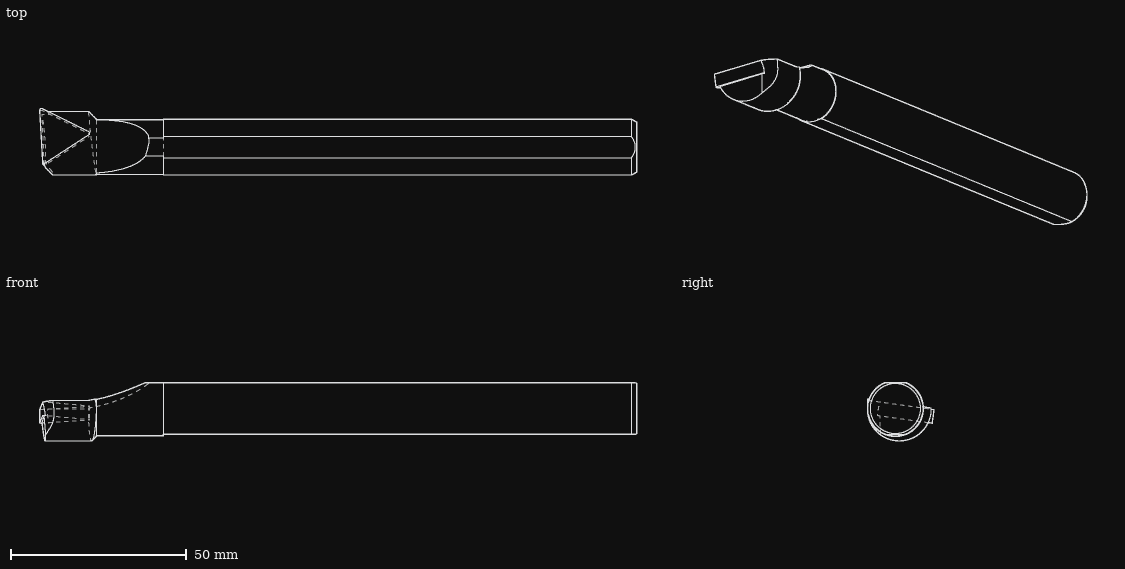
import cadquery as cq
import math

length = 170.0
shank_radius = 8.0
width_across_flats = 14.8
flat_height = width_across_flats / 2
end_chamfer_length = 1.5
end_chamfer_depth = 0.8

neck_radius = 7.8
neck_end = 35.2
neck_start = 13.6

head_diameter = 18.2
head_radius = head_diameter / 2
overall_height = 16.7
head_center_z = flat_height - overall_height + head_radius
head_center_y = head_radius - shank_radius
head_length = 16.2
relief_angle = 5.0
relief_start_z = 2.4
bevel_turns = (30.0, 45.0)
bevel_ridge = (1.7, -6.0)

floor_tilt = 8.0
floor_height = 1.22
scoop_center_x = 3.4
scoop_floor_radius = 13.3
scoop_rim_radius = 27.7
scoop_rim_height = 6.3
scoop_mid_radius = 21.0
scoop_mid_height = 2.5
clearance = 17.0

nose_radius = 0.5
nose_spacing = 14.8
insert_thickness = 3.9
tip_y = 11.0
front_edge_angle = 3.3

tilt = math.radians(floor_tilt)
floor_plane = cq.Plane(
    origin=(0, 0, floor_height),
    xDir=(1, 0, 0),
    normal=(0, math.sin(tilt), math.cos(tilt)),
)
cutting_nose = (nose_radius, tip_y / math.cos(tilt) - nose_radius)


def other_nose(angle):
    """Nose centre reached from the cutting nose, at an angle turned from -Y towards +X."""
    turn = math.radians(angle)
    return (
        cutting_nose[0] + nose_spacing * math.sin(turn),
        cutting_nose[1] - nose_spacing * math.cos(turn),
    )


def make_insert():
    noses = [cutting_nose, other_nose(front_edge_angle), other_nose(front_edge_angle + 60)]
    outline = cq.Workplane(floor_plane).polyline(noses).close().offset2D(nose_radius)
    return outline.extrude(-insert_thickness)


def make_shank():
    shank = cq.Workplane("XY").polyline([
        (neck_end, 0),
        (neck_end, shank_radius),
        (length - end_chamfer_length, shank_radius),
        (length, shank_radius - end_chamfer_depth),
        (length, 0),
    ]).close().revolve(360, (0, 0, 0), (1, 0, 0))
    flats = cq.Workplane("XY").box(length, 2 * clearance, 2 * flat_height, centered=(False, True, True))
    return shank.intersect(flats)


def make_neck():
    neck = cq.Workplane("YZ", origin=(neck_start, 0, 0)).circle(neck_radius).extrude(neck_end - neck_start)
    top_flat = cq.Workplane("XY", origin=(0, 0, flat_height)).rect(length, 2 * clearance).extrude(clearance)
    return neck.cut(top_flat)


def make_head():
    """Round below its centre, with upright sides above it and a back end bevelled to the bar."""
    center = (head_center_y, head_center_z)
    round_part = cq.Workplane("YZ").center(*center).circle(head_radius).extrude(head_length)
    upright_part = (
        cq.Workplane("YZ").center(*center)
        .rect(2 * head_radius, flat_height - head_center_z, centered=(True, False))
        .extrude(head_length)
    )
    back_cone = cq.Workplane("XY").polyline([
        (0, 0),
        (0, shank_radius + head_length),
        (head_length, shank_radius),
        (head_length, 0),
    ]).close().revolve(360, (0, 0, 0), (1, 0, 0))
    return round_part.union(upright_part).intersect(back_cone)


def leaning_cutter(edge_point, edge_turn):
    """Material ahead of a leaning face, whose top edge passes a point, turned from Y."""
    turn = math.radians(edge_turn)
    lean = math.radians(relief_angle)
    along_edge = cq.Vector(math.sin(turn), -math.cos(turn), 0)
    down_face = cq.Vector(
        math.sin(lean) * math.cos(turn),
        math.sin(lean) * math.sin(turn),
        -math.cos(lean),
    )
    face_plane = cq.Plane(
        origin=(*edge_point, relief_start_z),
        xDir=along_edge,
        normal=down_face.cross(along_edge),
    )
    return cq.Workplane(face_plane).rect(4 * clearance, 4 * clearance).extrude(clearance)


def front_relief_cutter():
    """The front face follows the front edge of the insert."""
    return leaning_cutter((0, tip_y - nose_radius), front_edge_angle)


def corner_bevel_cutters():
    """Two bevels with the same backward lean that take off the -Y front corner."""
    return [leaning_cutter(bevel_ridge, turn) for turn in bevel_turns]


def seat_cutter():
    """Space above the seat floor, turned about an axis square to the floor."""
    profile = cq.Plane(
        origin=floor_plane.toWorldCoords((scoop_center_x, 0, 0)),
        xDir=(1, 0, 0),
        normal=floor_plane.yDir * -1,
    )
    return (
        cq.Workplane(profile)
        .lineTo(scoop_floor_radius, 0)
        .threePointArc((scoop_mid_radius, scoop_mid_height), (scoop_rim_radius, scoop_rim_height))
        .lineTo(scoop_rim_radius, clearance)
        .lineTo(0, clearance)
        .close()
        .revolve(360, (0, 0, 0), (0, 1, 0))
    )


insert = make_insert()
holder = make_shank().union(make_neck()).union(make_head())
for cutter in [front_relief_cutter(), *corner_bevel_cutters()]:
    holder = holder.cut(cutter)
holder = holder.cut(seat_cutter()).cut(insert)

result = cq.Compound.makeCompound([holder.solids().val(), insert.val()])